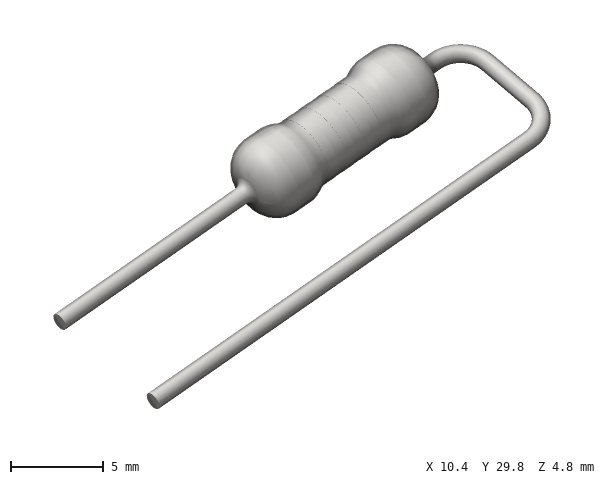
import cadquery as cq
import math

total_length = 29.8
total_width = 10.4
body_radius = 4.8 / 2
core_radius = 4.08 / 2
band_radius = 4.1 / 2
lead_radius = 1.0 / 2
bend_radius = 2.0
body_center_y = 19.97

core_half_length = 2.24
cap_inner = 3.58
cap_outer = 4.68
neck_end = 6.82

neck_fillet = 0.5
band_count = 4

lead_pitch = total_width - body_radius - lead_radius
top_y = total_length - lead_radius


def dome_points():
    """Return the dome middle, its joint with the neck and the neck middle, as (radius, distance)."""
    neck_center_radius = lead_radius + neck_fillet
    offset = body_radius - neck_center_radius
    height = neck_end - cap_outer
    dome_radius = (offset**2 + height**2 - neck_fillet**2) / (2 * (offset + neck_fillet))
    dome_center_radius = body_radius - dome_radius
    lean = math.atan2(height, neck_center_radius - dome_center_radius)
    joint = (
        dome_center_radius + dome_radius * math.cos(lean),
        cap_outer + dome_radius * math.sin(lean),
    )
    dome_middle = (
        dome_center_radius + dome_radius * math.cos(lean / 2),
        cap_outer + dome_radius * math.sin(lean / 2),
    )
    neck_turn = lean / 2
    neck_middle = (
        neck_center_radius - neck_fillet * math.cos(neck_turn),
        neck_end - neck_fillet * math.sin(neck_turn),
    )
    return dome_middle, joint, neck_middle


def make_half_body():
    """Revolve one half of the body, from its middle to the neck end."""
    dome_middle, joint, neck_middle = dome_points()
    shoulder_middle = (
        (core_radius + body_radius) / 2,
        (core_half_length + cap_inner) / 2,
    )
    axial = (0, 1)
    return (
        cq.Workplane("XY")
        .lineTo(core_radius, 0)
        .lineTo(core_radius, core_half_length)
        .tangentArcPoint(shoulder_middle, relative=False)
        .tangentArcPoint((body_radius, cap_inner), relative=False)
        .lineTo(body_radius, cap_outer)
        .threePointArc(dome_middle, joint)
        .threePointArc(neck_middle, (lead_radius, neck_end))
        .lineTo(0, neck_end)
        .close()
        .revolve(360, (0, 0), axial)
    )


def make_bands():
    """Colour bands, slightly proud of the core, with gaps as wide as the bands."""
    band_width = 2 * core_half_length / (2 * band_count - 1)
    bands = cq.Workplane("XY")
    for index in range(band_count):
        start = -core_half_length + 2 * index * band_width
        band = cq.Workplane("XZ", origin=(0, start, 0)).circle(band_radius).extrude(-band_width)
        bands = bands.union(band)
    return bands


def make_lead():
    """One wire through the body, bent back beside it through two quarter turns."""
    bend_start_y = top_y - bend_radius
    bend_middle = bend_radius * (1 - math.sqrt(0.5))
    path = (
        cq.Workplane("XY")
        .lineTo(0, bend_start_y)
        .threePointArc((bend_middle, top_y - bend_middle), (bend_radius, top_y))
        .lineTo(lead_pitch - bend_radius, top_y)
        .threePointArc((lead_pitch - bend_middle, top_y - bend_middle), (lead_pitch, bend_start_y))
        .lineTo(lead_pitch, 0)
    )
    return cq.Workplane("XZ").circle(lead_radius).sweep(path)


half_body = make_half_body()
body = half_body.union(half_body.mirror("XZ")).union(make_bands())
result = make_lead().union(body.translate((0, body_center_y, 0)))